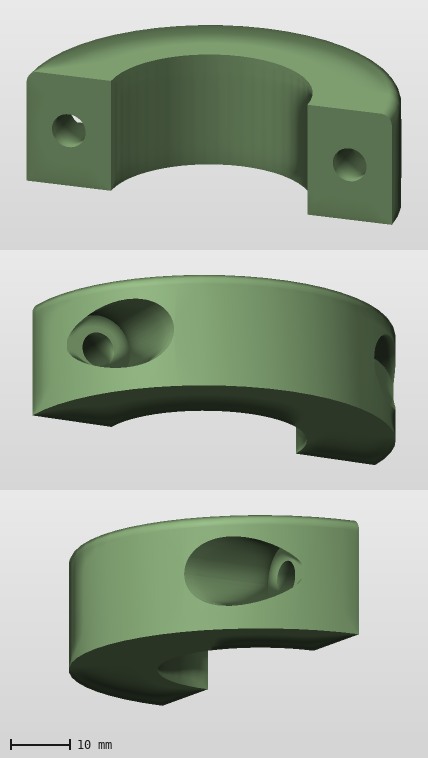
import cadquery as cq

outer_radius = 32.5
inner_radius = 17.5
height = 20.0
edge_radius = 2.0

bolt_diameter = 6.0
counterbore_diameter = 12.0
counterbore_floor_y = 9.9
bolt_x = (outer_radius + inner_radius) / 2
bolt_z = height / 2


def half_ring():
    """Half disc with a rounded top outer edge and a concentric bore."""
    disc = cq.Workplane("XY").circle(outer_radius).extrude(height)
    disc = disc.faces(">Z").edges().fillet(edge_radius)
    ring = disc.cut(cq.Workplane("XY").circle(inner_radius).extrude(height))
    keep = cq.Workplane("XY").box(
        2 * outer_radius, outer_radius, height, centered=(True, False, False)
    )
    return ring.intersect(keep)


def y_cylinder(x, diameter, start_y):
    """Cylinder along +Y from start_y to the back of the ring."""
    return (
        cq.Workplane("XZ", origin=(x, start_y, bolt_z))
        .circle(diameter / 2)
        .extrude(-(outer_radius - start_y))
    )


result = half_ring()
for side in (-1, 1):
    x = side * bolt_x
    result = result.cut(y_cylinder(x, bolt_diameter, 0))
    result = result.cut(y_cylinder(x, counterbore_diameter, counterbore_floor_y))